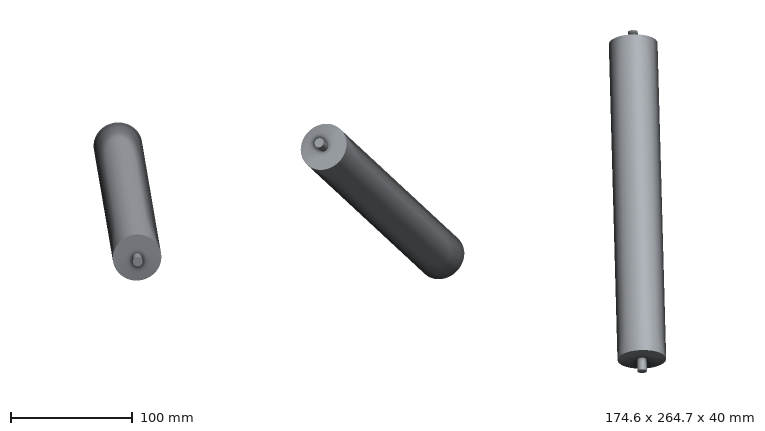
import cadquery as cq

ROLLER_DIAMETER = 40.0
ROLLER_LENGTH = 280.0
SHAFT_DIAMETER = 8.0
SHAFT_LENGTH = 301.0
AXIS_ANGLE = -60.0


def centred_cylinder(diameter, length):
    """Cylinder along X, centred on the origin."""
    start_plane = cq.Workplane("YZ").workplane(offset=-length / 2)
    return start_plane.circle(diameter / 2).extrude(length)


def turn_to_axis(body):
    """Turn a body lying along X onto the roller axis."""
    return body.rotate((0, 0, 0), (0, 0, 1), AXIS_ANGLE)


def make_roller():
    """Roller with a through bore that fits the shaft."""
    bore = centred_cylinder(SHAFT_DIAMETER, ROLLER_LENGTH)
    return turn_to_axis(centred_cylinder(ROLLER_DIAMETER, ROLLER_LENGTH).cut(bore))


def make_shaft():
    """Plain shaft that passes through the roller and stands out at both ends."""
    return turn_to_axis(centred_cylinder(SHAFT_DIAMETER, SHAFT_LENGTH))


roller = make_roller()
shaft = make_shaft()

result = cq.Compound.makeCompound([roller.val(), shaft.val()])